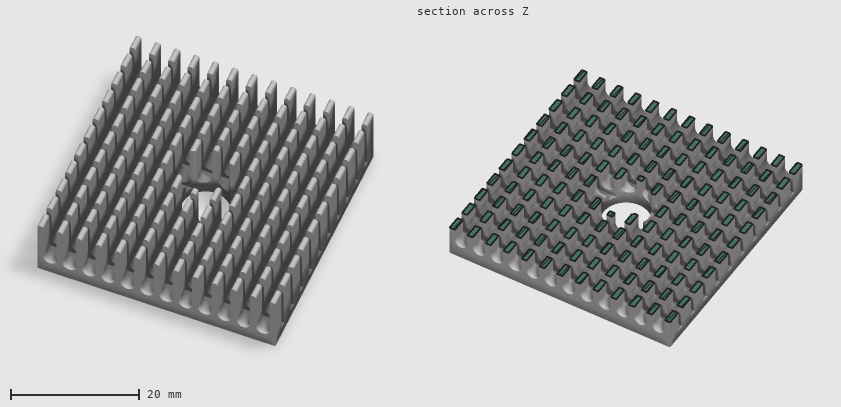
import cadquery as cq

side = 40.0
height = 11.0
fin_count = 13
fin_thickness = 1.0
channel_floor = 2.25
slot_count = 10
slot_width = 1.25
slot_floor = 1.5
hole_diameter = 8.0

fin_pitch = (side - fin_thickness) / (fin_count - 1)
fin_tip_radius = fin_thickness / 2
fin_shoulder = height - fin_tip_radius
channel_radius = (fin_pitch - fin_thickness) / 2
channel_arc_start = channel_floor + channel_radius
pin_length = (side - slot_count * slot_width) / (slot_count + 1)
slot_pitch = pin_length + slot_width


def finned_extrusion():
    """Comb-shaped XZ profile with round fin tips and channel floors, extruded along Y."""
    profile = cq.Workplane("XZ").moveTo(-side / 2, 0).lineTo(-side / 2, fin_shoulder)
    for index in range(fin_count):
        fin_center = -side / 2 + fin_tip_radius + index * fin_pitch
        fin_right = fin_center + fin_tip_radius
        profile = profile.threePointArc((fin_center, height), (fin_right, fin_shoulder))
        if index < fin_count - 1:
            channel_center = fin_right + channel_radius
            next_fin_left = channel_center + channel_radius
            profile = profile.lineTo(fin_right, channel_arc_start)
            profile = profile.threePointArc(
                (channel_center, channel_floor), (next_fin_left, channel_arc_start)
            )
            profile = profile.lineTo(next_fin_left, fin_shoulder)
    return profile.lineTo(side / 2, 0).close().extrude(side / 2, both=True)


def cross_slots():
    """Flat-bottomed slots along X that divide the fins into pins."""
    return (
        cq.Workplane("XY")
        .workplane(offset=slot_floor)
        .rarray(side, slot_pitch, 1, slot_count)
        .rect(side, slot_width)
        .extrude(height - slot_floor)
    )


def center_hole():
    """Vertical cylinder through the middle of the base and pins."""
    return cq.Workplane("XY").circle(hole_diameter / 2).extrude(height)


result = finned_extrusion().cut(cross_slots()).cut(center_hole())